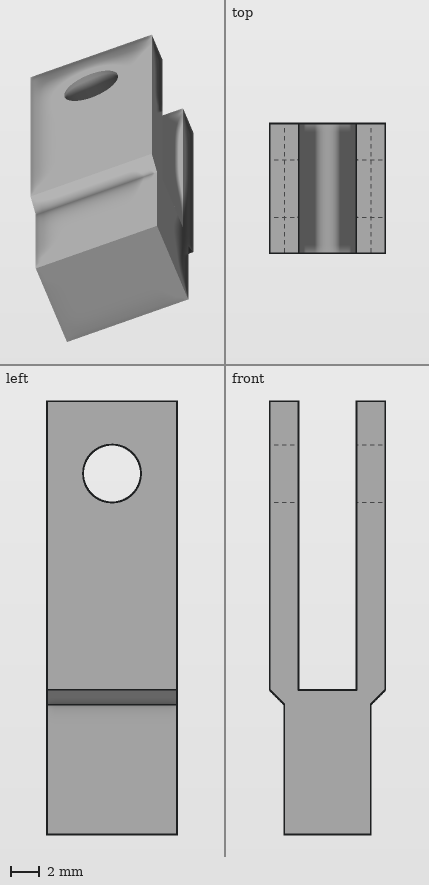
import cadquery as cq

height = 30.0
depth = 9.0
fork_width = 8.0
stem_width = 6.0
slot_width = 4.0
stem_height = 9.0
hole_diameter = 4.0
hole_from_top = 5.0

shoulder = (fork_width - stem_width) / 2
slot_floor = stem_height + shoulder


def make_body():
    """Stem and fork outline, extruded symmetrically along Y."""
    return (
        cq.Workplane("XZ")
        .moveTo(-stem_width / 2, 0)
        .lineTo(stem_width / 2, 0)
        .lineTo(stem_width / 2, stem_height)
        .lineTo(fork_width / 2, slot_floor)
        .lineTo(fork_width / 2, height)
        .lineTo(-fork_width / 2, height)
        .lineTo(-fork_width / 2, slot_floor)
        .lineTo(-stem_width / 2, stem_height)
        .close()
        .extrude(depth / 2, both=True)
    )


def make_slot():
    """Open slot separating the two fork arms."""
    return (
        cq.Workplane("XY")
        .workplane(offset=slot_floor)
        .rect(slot_width, depth)
        .extrude(height - slot_floor)
    )


def make_pin_hole():
    """Cross hole along X through both arms."""
    return (
        cq.Workplane("YZ")
        .center(0, height - hole_from_top)
        .circle(hole_diameter / 2)
        .extrude(fork_width / 2, both=True)
    )


result = make_body().cut(make_slot()).cut(make_pin_hole())